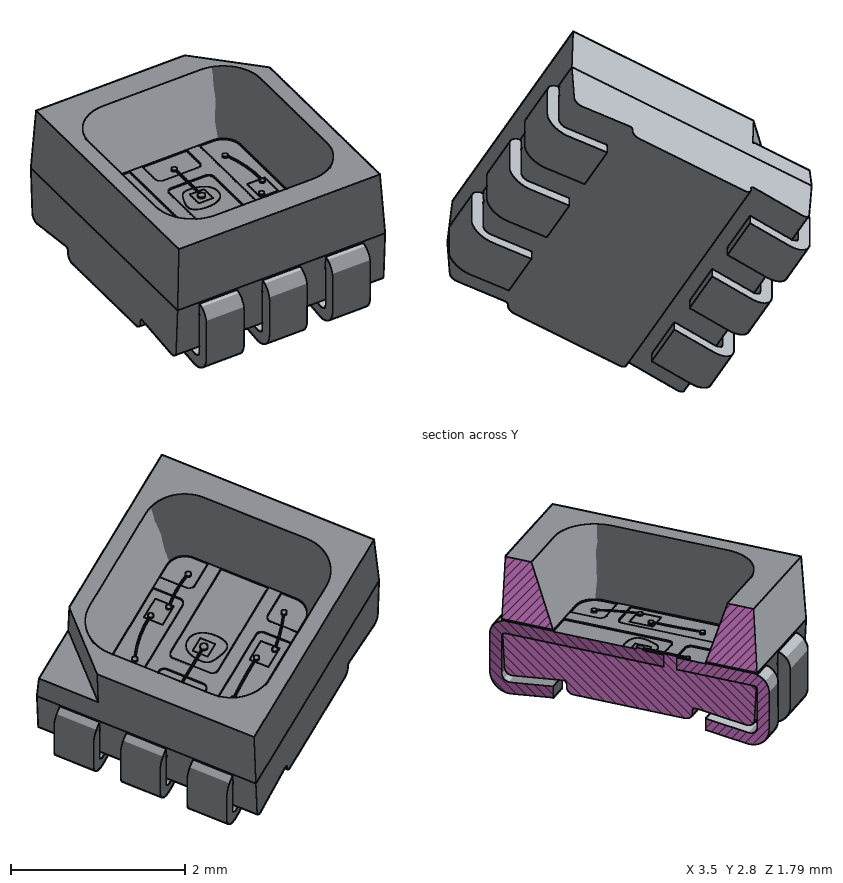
import cadquery as cq
import math


LENGTH = 3.2
WIDTH = 2.8
REFLECTOR_HEIGHT = 0.833
BASE_HEIGHT = 0.795
DRAFT = math.tan(math.radians(3))

CAVITY_LENGTH = 2.45
CAVITY_WIDTH = 2.31
CAVITY_CORNER = 0.5
CAVITY_INSET = 0.273

NOTCH_DEPTH = 0.5
NOTCH_OFFSET = 2.205

FOOT_HALF_LENGTH = 0.79
RECESS_HEIGHT = 0.63
BASE_FILLET = 0.095
RECESS_FILLET = 0.035

OVERALL_LENGTH = 3.5
LEAD_THICKNESS = 0.155
LEAD_WIDTH = 0.508
LEAD_PITCH = 0.85
LEAD_DROP = 0.955
UPPER_BEND = 0.2
LOWER_BEND = 0.25
LEAD_SLOPE = math.radians(7)
LEAD_END_X = 0.952

PAD_DEPTH = 0.018
PAD_GAP = 0.168
MIDDLE_PAD_HALF_WIDTH = 0.3
OUTER_ROW_GAP_X = 0.448
MIDDLE_ROW_GAP_X = -0.51
PAD_SHOULDER_X = 1.225
PAD_CORNER = 0.07

OUTER_DIE = (0.295, 0.238)
OUTER_DIE_X = 0.098
OUTER_DIE_Y = 0.675
MIDDLE_DIE = (0.2, 0.192)
MIDDLE_DIE_CENTRE = (-0.125, -0.01)
ADHESIVE_POINTS = [(-0.12, 0.203), (0.085, -0.04), (0.01, -0.24), (-0.182, -0.217), (-0.298, -0.14), (-0.31, -0.04)]
ADHESIVE_HEIGHT = 0.0018
DIE_HEIGHT = 0.005
WIRE_THICKNESS = 0.0052
WIRE_WIDTH = 0.02
BALL_DIAMETER = 0.065
MIDDLE_BALL_DIAMETER = 0.09
MIDDLE_FAR_BALL_X = -0.718
UPPER_BONDS = [
    ((-0.635, 0.623), (0, 0.73), 0.035),
    ((0.2, 0.6), (0.715, 0.605), 0.02),
]
LOWER_BONDS = [
    ((-0.635, -0.64), (0, -0.62), 0.007),
    ((0.2, -0.755), (0.715, -0.62), -0.015),
]


def make_cavity():
    """Opening through the reflector, narrowing down to the cavity floor."""
    taper = math.degrees(math.atan(CAVITY_INSET / REFLECTOR_HEIGHT))
    opening = cq.Sketch().rect(CAVITY_LENGTH, CAVITY_WIDTH).vertices().fillet(CAVITY_CORNER)
    return (
        cq.Workplane("XY", origin=(0, 0, REFLECTOR_HEIGHT)).placeSketch(opening)
        .extrude(-REFLECTOR_HEIGHT, taper=taper)
    )


def make_reflector():
    """Drafted frame with a tapered cavity and a notched corner."""
    draft_inset = 2 * DRAFT * REFLECTOR_HEIGHT
    frame = (
        cq.Workplane("XY").rect(LENGTH, WIDTH)
        .workplane(offset=REFLECTOR_HEIGHT).rect(LENGTH - draft_inset, WIDTH - draft_inset)
        .loft(ruled=True)
    )
    corner_x, corner_y = -LENGTH / 2, WIDTH / 2
    notch = (
        cq.Workplane("XY", origin=(0, 0, REFLECTOR_HEIGHT - NOTCH_DEPTH))
        .polyline([
            (corner_x, corner_y),
            (corner_x, NOTCH_OFFSET + corner_x),
            (corner_y - NOTCH_OFFSET, corner_y),
        ])
        .close().extrude(NOTCH_DEPTH)
    )
    return frame.cut(make_cavity()).cut(notch)


def make_base():
    """Block with a central foot and, beside it, recesses that follow the slope of the leads."""
    outer_top = LENGTH / 2
    slope = math.tan(LEAD_SLOPE)
    underside_drop = RECESS_HEIGHT + slope * (outer_top - FOOT_HALF_LENGTH)
    corner_drop = underside_drop / (1 + slope * DRAFT)
    corner_x = outer_top - DRAFT * corner_drop
    right_side = [
        (FOOT_HALF_LENGTH, -BASE_HEIGHT),
        (FOOT_HALF_LENGTH, -RECESS_HEIGHT),
        (corner_x, -corner_drop),
        (outer_top, 0),
    ]
    left_side = [(-x, z) for x, z in reversed(right_side)]
    block = cq.Workplane("XZ").polyline(right_side + left_side).close().extrude(WIDTH / 2, both=True)

    def edges_at(x, z):
        reach = RECESS_FILLET / 4
        return cq.selectors.BoxSelector((x - reach, -WIDTH, z - reach), (x + reach, WIDTH, z + reach))

    for side in (-1, 1):
        block = block.edges(edges_at(side * FOOT_HALF_LENGTH, -BASE_HEIGHT)).fillet(BASE_FILLET)
        block = block.edges(edges_at(side * FOOT_HALF_LENGTH, -RECESS_HEIGHT)).fillet(RECESS_FILLET)
        block = block.edges(edges_at(side * corner_x, -corner_drop)).fillet(BASE_FILLET)
    return block


def make_pad(side, row, gap_x, thickness):
    """Plate with the outline of one pad and its top face at z = 0, rounded towards the gap."""
    if row == 0:
        near_y, far_y = -MIDDLE_PAD_HALF_WIDTH, MIDDLE_PAD_HALF_WIDTH
    else:
        near_y = row * (MIDDLE_PAD_HALF_WIDTH + PAD_GAP)
        far_y = row * (LEAD_PITCH + LEAD_WIDTH / 2)
    tip_x = gap_x + side * PAD_GAP / 2
    shoulder_x = side * PAD_SHOULDER_X
    return (
        cq.Workplane("XY", origin=((tip_x + shoulder_x) / 2, (near_y + far_y) / 2, 0))
        .rect(abs(shoulder_x - tip_x), abs(far_y - near_y))
        .extrude(-thickness)
        .edges("|Z and >X" if side < 0 else "|Z and <X").fillet(PAD_CORNER)
    )


def make_pad_window(side, row, gap_x):
    """Shallow recess that uncovers one pad within the cavity floor."""
    floor_corner = CAVITY_CORNER - CAVITY_INSET
    floor = (
        cq.Workplane("XY")
        .rect(CAVITY_LENGTH - 2 * CAVITY_INSET, CAVITY_WIDTH - 2 * CAVITY_INSET)
        .extrude(-PAD_DEPTH)
        .edges("|Z").fillet(floor_corner)
    )
    return make_pad(side, row, gap_x, PAD_DEPTH).intersect(floor)


def make_lead(side, row, gap_x):
    """One bent lead with its pad; side is -1 or 1 along X, row is -1, 0 or 1 along Y."""
    outer_x = OVERALL_LENGTH / 2
    upper_x = outer_x - UPPER_BEND
    upper_z = -PAD_DEPTH - UPPER_BEND
    lower_x = outer_x - LOWER_BEND
    lower_z = LOWER_BEND - LEAD_DROP
    upper_inner = UPPER_BEND - LEAD_THICKNESS
    lower_inner = LOWER_BEND - LEAD_THICKNESS

    def upper_point(radius, angle):
        return side * (upper_x + radius * math.cos(angle)), upper_z + radius * math.sin(angle)

    def lower_point(radius, angle):
        return side * (lower_x + radius * math.cos(angle)), lower_z + radius * math.sin(angle)

    def end_point(radius):
        x, z = lower_point(radius, leg_angle)
        return side * LEAD_END_X, z + (abs(x) - LEAD_END_X) * math.tan(LEAD_SLOPE)

    up = math.pi / 2
    leg_angle = -math.pi / 2 - LEAD_SLOPE
    strip = (
        cq.Workplane("XZ")
        .moveTo(side * PAD_SHOULDER_X, -PAD_DEPTH)
        .lineTo(*upper_point(UPPER_BEND, up))
        .threePointArc(upper_point(UPPER_BEND, up / 2), upper_point(UPPER_BEND, 0))
        .lineTo(*lower_point(LOWER_BEND, 0))
        .threePointArc(lower_point(LOWER_BEND, leg_angle / 2), lower_point(LOWER_BEND, leg_angle))
        .lineTo(*end_point(LOWER_BEND))
        .lineTo(*end_point(lower_inner))
        .lineTo(*lower_point(lower_inner, leg_angle))
        .threePointArc(lower_point(lower_inner, leg_angle / 2), lower_point(lower_inner, 0))
        .lineTo(*upper_point(upper_inner, 0))
        .threePointArc(upper_point(upper_inner, up / 2), upper_point(upper_inner, up))
        .lineTo(side * PAD_SHOULDER_X, -PAD_DEPTH - LEAD_THICKNESS)
        .close()
        .extrude(LEAD_WIDTH / 2, both=True)
        .translate((0, row * LEAD_PITCH, 0))
    )

    pad = make_pad(side, row, gap_x, LEAD_THICKNESS).translate((0, 0, -PAD_DEPTH))
    return strip.union(pad)


def on_pad():
    """Workplane on the top faces of the pads."""
    return cq.Workplane("XY", origin=(0, 0, -PAD_DEPTH))


def make_die(size, centre):
    return on_pad().center(*centre).rect(*size).extrude(DIE_HEIGHT)


def make_ball(centre, diameter=BALL_DIAMETER):
    """Round bond that stands on a pad and reaches up to the top of the wire."""
    return on_pad().center(*centre).circle(diameter / 2).extrude(PAD_DEPTH + WIRE_THICKNESS)


def make_wire(start, end, bow=0):
    """Flat strip from start to end whose middle is shifted by bow along Y."""
    half = WIRE_WIDTH / 2
    middle_x = (start[0] + end[0]) / 2
    middle_y = (start[1] + end[1]) / 2 + bow
    outline = cq.Workplane("XY").moveTo(start[0], start[1] + half)
    if bow:
        outline = outline.threePointArc((middle_x, middle_y + half), (end[0], end[1] + half))
        outline = outline.lineTo(end[0], end[1] - half)
        outline = outline.threePointArc((middle_x, middle_y - half), (start[0], start[1] - half))
    else:
        outline = outline.lineTo(end[0], end[1] + half).lineTo(end[0], end[1] - half)
        outline = outline.lineTo(start[0], start[1] - half)
    return outline.close().extrude(WIRE_THICKNESS)


def add_outer_die(lead, row, bonds):
    """Add a die and its wires; each bond is (start, end, bow) of one wire with a ball at each end."""
    lead = lead.union(make_die(OUTER_DIE, (OUTER_DIE_X, row * OUTER_DIE_Y)))
    for start, end, bow in bonds:
        lead = lead.union(make_wire(start, end, bow)).union(make_ball(start)).union(make_ball(end))
    return lead


def add_middle_die(lead):
    """Add the die on its adhesive patch, wired straight across the gap to the opposite pad."""
    adhesive = on_pad().spline(ADHESIVE_POINTS, periodic=True).close().extrude(ADHESIVE_HEIGHT)
    far_ball = (MIDDLE_FAR_BALL_X, MIDDLE_DIE_CENTRE[1])
    lead = lead.union(adhesive).union(make_die(MIDDLE_DIE, MIDDLE_DIE_CENTRE))
    lead = lead.union(make_wire(far_ball, MIDDLE_DIE_CENTRE)).union(make_ball(far_ball))
    return lead.union(make_ball(MIDDLE_DIE_CENTRE, MIDDLE_BALL_DIAMETER))


reflector = make_reflector()
base = make_base()
leads = []
for row in (-1, 0, 1):
    gap_x = MIDDLE_ROW_GAP_X if row == 0 else OUTER_ROW_GAP_X
    for side in (-1, 1):
        lead = make_lead(side, row, gap_x)
        base = base.cut(lead).cut(make_pad_window(side, row, gap_x))
        if row == 0 and side > 0:
            lead = add_middle_die(lead)
        elif row != 0 and side < 0:
            lead = add_outer_die(lead, row, UPPER_BONDS if row > 0 else LOWER_BONDS)
        leads.append(lead.solids().val())

result = cq.Compound.makeCompound([reflector.solids().val(), base.solids().val(), *leads])